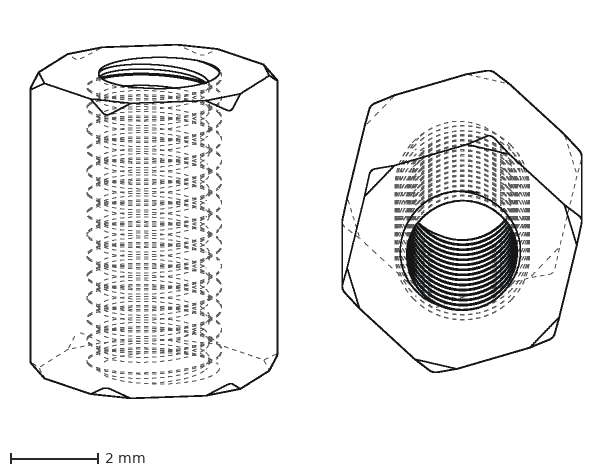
import cadquery as cq
import math

height = 7.0
across_flats = 5.0
across_rounded_corners = 5.71
sharp_corner_radius = across_flats / math.sqrt(3)
edge_radius = (sharp_corner_radius - across_rounded_corners / 2) / (2 / math.sqrt(3) - 1)

corner_bevel = 0.26
end_corner_reach = across_rounded_corners / 2 - corner_bevel

minor_diameter = 2.53
major_diameter = 3.09
turn_count = 14
pitch = height / turn_count
root_width = 0.035
mouth_width = 0.385
thread_depth = (major_diameter - minor_diameter) / 2
flank_slope = (mouth_width - root_width) / 2 / thread_depth
bore_overlap = 0.035
root_angle_at_ends = 90


def hexagonal_body():
    body = cq.Workplane("XY").polygon(6, 2 * sharp_corner_radius).extrude(height)
    return body.edges("|Z").fillet(edge_radius)


def corner_bevels():
    """Triangular bars that bevel all six corners at the top and bottom."""
    margin = 0.35
    outer_reach = end_corner_reach + corner_bevel + margin
    top_bar = (
        cq.Workplane("XZ")
        .polyline([
            (end_corner_reach - margin, height + margin),
            (outer_reach, height + margin),
            (outer_reach, height - corner_bevel - margin),
        ])
        .close()
        .extrude(across_flats / 2, both=True)
    )
    bottom_bar = top_bar.mirror("XY", (0, 0, height / 2))
    bars = []
    for corner in range(6):
        for bar in (top_bar, bottom_bar):
            bars.append(bar.rotate((0, 0, 0), (0, 0, 1), 60 * corner).val())
    return bars


def thread_groove():
    """Helical groove running one full turn past each end face."""
    inner_radius = minor_diameter / 2 - bore_overlap
    root_radius = major_diameter / 2
    root_half_width = root_width / 2
    inner_half_width = root_half_width + (root_radius - inner_radius) * flank_slope
    helix = cq.Wire.makeHelix(pitch, height + 2 * pitch, minor_diameter / 2)
    groove = (
        cq.Workplane("XZ")
        .polyline([
            (inner_radius, -inner_half_width),
            (root_radius, -root_half_width),
            (root_radius, root_half_width),
            (inner_radius, inner_half_width),
        ])
        .close()
        .sweep(cq.Workplane(helix), isFrenet=True)
    )
    groove = groove.rotate((0, 0, 0), (0, 0, 1), root_angle_at_ends)
    return groove.translate((0, 0, -pitch))


body = hexagonal_body()
for bevel in corner_bevels():
    body = body.cut(cq.Workplane(bevel))
bore = cq.Workplane("XY").circle(minor_diameter / 2).extrude(height)

threaded_body = body.cut(bore).cut(thread_groove())
result = cq.Workplane(threaded_body.solids().val())